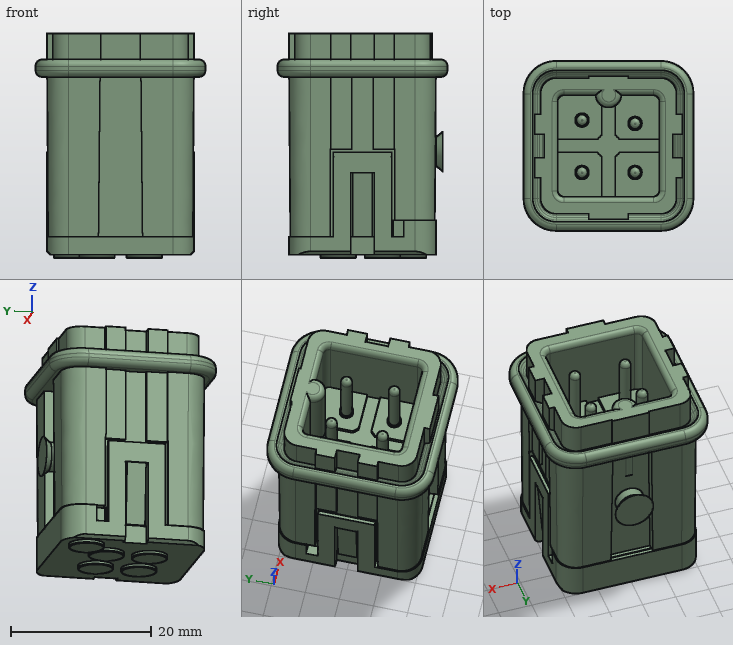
import cadquery as cq
import math

TOTAL_HEIGHT = 32.1
CAP_BOTTOM = 0.5
CAP_TOP = 3.1
CAP_TALL_TOP = 5.45
SEAL_BOTTOM = 25.87
SEAL_TOP = 28.4
CAVITY_FLOOR = 20.45

CORNER_CENTRE = 7.48
SEAL_WIDTH = 24.3
SEAL_HALF = SEAL_WIDTH / 2
BODY_HALF = 10.5
BODY_BOTTOM_HALF = 10.3
COLLAR_HALF = 9.7
OVERLAP = 0.32

SEAL_FILLET = 1.0
SEAL_INNER_HALF = 9.0
SEAL_FUNNEL = [(10.82, 0), (10.53, 0.25), (10.18, 0.58), (9.92, 0.7), (9.45, 1.05), (9.15, 1.32)]

KEY_INNER = 1.67
KEY_OUTER = 4.53
Y_KEY_HALF_WIDTH = 2.8
REAR_KEY_REACH = 9.95
NOTCH_FLOOR = 9.15
RECESS_FLOOR = 9.95
MID_CHANNEL_HALF_WIDTH = 1.55
LATCH_SEAT_FLOOR = 9.5
LATCH_SEAT_TOP = 15.6
LATCH_SEAT_HALF_WIDTH = 4.62
Y_CHANNEL_TOP_HALF_WIDTH = 2.92
Y_CHANNEL_BOTTOM_HALF_WIDTH = 3.15
Y_CHANNEL_FLOOR = 9.1
LEDGE_WIDTH = 0.7
LEDGE_STEP = 0.13

LATCH_WIDTH = 8.3
LATCH_HALF_WIDTH = LATCH_WIDTH / 2
LATCH_TOP = 15.12
LATCH_SLOT_HALF_WIDTH = 1.67
LATCH_SLOT_TOP = 12.2
LATCH_INNER = 9.0
LATCH_BACK = 9.95
LATCH_GAP_DEPTH = 0.65
HOOK_HALF_WIDTH = 1.38
HOOK_TOP_REACH = 10.27
HOOK_BOTTOM_REACH = 9.53
HOOK_FOOT_REACH = 9.12
SLOT_FLOOR = 8.92
POCKET_START = 4.35
POCKET_END = 5.87
POCKET_FLOOR = 9.0
CAP_CHAMFER = 0.48

CAVITY_WIDTH = 14.48
CAVITY_HALF = CAVITY_WIDTH / 2
CAVITY_CORNER_RADIUS = 0.87
RIM_FILLET = 0.85
GUIDE_POST_DIAMETER = 3.65
GUIDE_POST_Y = 7.32
CROSS_HALF_WIDTH = 0.93
CROSS_DEPTH = 0.5
CROSS_CHAMFER = 0.67
PIN_DIAMETER = 1.6
PIN_FOOT_DIAMETER = 2.0
PIN_FOOT_HEIGHT = 0.25
PIN_TIP_FILLET = 0.7
PINS = [(-3.8, -3.8, 29.75), (3.8, -3.8, 29.75), (-3.8, 3.7, 30.6), (3.8, 3.2, 29.75)]

ENTRY_DIAMETER = 5.1
ENTRY_CHAMFER = 0.13
ENTRIES = [(-3.37, -3.47), (3.4, -3.47), (-3.37, 2.85), (3.4, 2.85), (-6.95, 6.58)]
SCREW_HEIGHT = 15.25
SCREW_HEAD_DIAMETER = 5.7
SCREW_NECK_DIAMETER = 4.2
SCREW_FACE = 11.45
SCREW_NECK_END = 10.53


def box(x0, x1, y0, y1, z0, z1):
    return cq.Workplane("XY").box(x1 - x0, y1 - y0, z1 - z0, centered=False).translate((x0, y0, z0))


def rounded_square(half, z):
    sketch = cq.Sketch().rect(2 * half, 2 * half).vertices().fillet(half - CORNER_CENTRE)
    return cq.Workplane("XY").workplane(offset=z).placeSketch(sketch)


def on_both_x_sides(shape):
    return shape.union(shape.mirror("YZ"))


def drafted_body():
    """Body below the seal, narrowing slightly towards the cap."""
    lower = rounded_square(BODY_BOTTOM_HALF, CAP_BOTTOM)
    upper = rounded_square(BODY_HALF, SEAL_BOTTOM + OVERLAP)
    bottom_wire = lower.extrude(OVERLAP).faces("<Z").wires().val()
    top_wire = upper.extrude(OVERLAP).faces("<Z").wires().val()
    return cq.Workplane(cq.Solid.makeLoft([bottom_wire, top_wire], True))


def x_side_recess():
    """Stepped recess in the -X face that also holds the latch plate of the cap."""
    outside = -BODY_HALF - OVERLAP
    recess = box(outside, -RECESS_FLOOR, -KEY_OUTER, KEY_OUTER, LATCH_SEAT_TOP, SEAL_BOTTOM)
    channel = box(
        outside, -LATCH_SEAT_FLOOR,
        -MID_CHANNEL_HALF_WIDTH, MID_CHANNEL_HALF_WIDTH,
        LATCH_SEAT_TOP, SEAL_BOTTOM,
    )
    seat = box(
        outside, -LATCH_SEAT_FLOOR,
        -LATCH_SEAT_HALF_WIDTH, LATCH_SEAT_HALF_WIDTH,
        CAP_TOP, LATCH_SEAT_TOP,
    )
    return recess.union(channel).union(seat)


def y_channel(bottom):
    """Channel in the -Y face that widens slightly towards its bottom."""
    outline = [
        (-Y_CHANNEL_BOTTOM_HALF_WIDTH, bottom),
        (Y_CHANNEL_BOTTOM_HALF_WIDTH, bottom),
        (Y_CHANNEL_TOP_HALF_WIDTH, SEAL_BOTTOM),
        (-Y_CHANNEL_TOP_HALF_WIDTH, SEAL_BOTTOM),
    ]
    depth = BODY_HALF + OVERLAP - Y_CHANNEL_FLOOR
    return cq.Workplane("XZ", origin=(0, -Y_CHANNEL_FLOOR, 0)).polyline(outline).close().extrude(depth)


def y_channel_ledge(bottom):
    """Low step in the cap rim along the floor of the -Y channel."""
    return box(
        -Y_CHANNEL_BOTTOM_HALF_WIDTH, Y_CHANNEL_BOTTOM_HALF_WIDTH,
        -Y_CHANNEL_FLOOR - LEDGE_WIDTH, -Y_CHANNEL_FLOOR,
        bottom - LEDGE_STEP, bottom,
    )


def cap():
    """Bottom cap: low wall, taller +Y wall and a latch plate on each X side."""
    low = rounded_square(BODY_HALF, CAP_BOTTOM).extrude(CAP_TOP - CAP_BOTTOM)
    tall = rounded_square(BODY_HALF, CAP_TOP).extrude(CAP_TALL_TOP - CAP_TOP)
    tall = tall.intersect(
        box(-BODY_HALF, BODY_HALF, POCKET_START, BODY_HALF, CAP_TOP, CAP_TALL_TOP)
    )
    plate = box(-BODY_HALF, -LATCH_INNER, -LATCH_HALF_WIDTH, LATCH_HALF_WIDTH, CAP_BOTTOM, LATCH_TOP)
    return low.union(tall).union(on_both_x_sides(plate))


def cap_side_cuts():
    """Latch slot, small window, gap behind the latch plate and bottom chamfer of the cap on its -X side."""
    outside = -BODY_HALF - OVERLAP
    slot = box(
        outside, -SLOT_FLOOR,
        -LATCH_SLOT_HALF_WIDTH, LATCH_SLOT_HALF_WIDTH,
        0, LATCH_SLOT_TOP,
    )
    pocket = box(outside, -POCKET_FLOOR, POCKET_START, POCKET_END, CAP_TOP, CAP_TALL_TOP)
    gap = box(
        -LATCH_BACK, -LATCH_SEAT_FLOOR,
        -LATCH_HALF_WIDTH, LATCH_HALF_WIDTH,
        LATCH_TOP - LATCH_GAP_DEPTH, LATCH_TOP,
    )
    chamfer = (
        cq.Workplane("XZ", origin=(0, BODY_HALF, 0))
        .polyline([
            (-BODY_HALF, CAP_BOTTOM),
            (-BODY_HALF + CAP_CHAMFER, CAP_BOTTOM),
            (-BODY_HALF, CAP_BOTTOM + CAP_CHAMFER),
        ])
        .close()
        .extrude(2 * BODY_HALF)
    )
    return slot.union(pocket).union(gap).union(chamfer)


def latch_hook():
    """Ramp of the body inside the latch slot, over a plain foot that closes the slot below."""
    ramp = (
        cq.Workplane("XZ", origin=(0, HOOK_HALF_WIDTH, 0))
        .polyline([
            (-LATCH_INNER + OVERLAP, CAP_TOP),
            (-HOOK_BOTTOM_REACH, CAP_TOP),
            (-HOOK_TOP_REACH, LATCH_SLOT_TOP),
            (-LATCH_INNER + OVERLAP, LATCH_SLOT_TOP),
        ])
        .close()
        .extrude(2 * HOOK_HALF_WIDTH)
    )
    foot = box(
        -HOOK_FOOT_REACH, -SLOT_FLOOR + OVERLAP,
        -LATCH_SLOT_HALF_WIDTH, LATCH_SLOT_HALF_WIDTH,
        CAP_BOTTOM, CAP_TOP,
    )
    return ramp.union(foot)


def seal():
    """Seal ring: its cross-section is swept around the rounded square."""
    shoulder = SEAL_HALF - SEAL_FILLET
    bulge = SEAL_FILLET * (1 - math.sqrt(0.5))
    section = (
        cq.Workplane("XZ")
        .moveTo(SEAL_INNER_HALF, SEAL_BOTTOM)
        .lineTo(shoulder, SEAL_BOTTOM)
        .threePointArc((SEAL_HALF - bulge, SEAL_BOTTOM + bulge), (SEAL_HALF, SEAL_BOTTOM + SEAL_FILLET))
        .lineTo(SEAL_HALF, SEAL_TOP - SEAL_FILLET)
        .threePointArc((SEAL_HALF - bulge, SEAL_TOP - bulge), (shoulder, SEAL_TOP))
    )
    for half, drop in SEAL_FUNNEL:
        section = section.lineTo(half, SEAL_TOP - drop)
    section = section.lineTo(SEAL_INNER_HALF, SEAL_TOP - SEAL_FUNNEL[-1][1]).close()
    edge = SEAL_HALF
    start = CORNER_CENTRE
    mid = start + (edge - start) * math.sqrt(0.5)
    ring_path = (
        cq.Workplane("XY", origin=(0, 0, SEAL_BOTTOM))
        .moveTo(edge, 0)
        .lineTo(edge, start).threePointArc((mid, mid), (start, edge))
        .lineTo(-start, edge).threePointArc((-mid, mid), (-edge, start))
        .lineTo(-edge, -start).threePointArc((-mid, -mid), (-start, -edge))
        .lineTo(start, -edge).threePointArc((mid, -mid), (edge, -start))
        .close()
    )
    return section.sweep(ring_path)


def collar():
    """Collar above the seal with its key ribs and the two side notches."""
    height = TOTAL_HEIGHT - SEAL_BOTTOM
    base = rounded_square(COLLAR_HALF, SEAL_BOTTOM).extrude(height)
    keys = box(-BODY_HALF, BODY_HALF, -KEY_OUTER, KEY_OUTER, SEAL_BOTTOM, TOTAL_HEIGHT)
    keys = keys.union(
        box(-Y_KEY_HALF_WIDTH, Y_KEY_HALF_WIDTH, -BODY_HALF, REAR_KEY_REACH, SEAL_BOTTOM, TOTAL_HEIGHT)
    )
    notch = box(-BODY_HALF, -NOTCH_FLOOR, -KEY_INNER, KEY_INNER, SEAL_BOTTOM, TOTAL_HEIGHT)
    return base.union(keys).cut(on_both_x_sides(notch))


def cavity():
    """Open pocket around the pins."""
    depth = TOTAL_HEIGHT - CAVITY_FLOOR
    return (
        cq.Workplane("XY", origin=(0, 0, CAVITY_FLOOR))
        .rect(2 * CAVITY_HALF, 2 * CAVITY_HALF)
        .extrude(depth)
        .edges("|Z")
        .fillet(CAVITY_CORNER_RADIUS)
    )


def guide_post():
    """Round post on the +Y cavity wall, rounded at its top."""
    return (
        cq.Workplane("XY", origin=(0, GUIDE_POST_Y, CAVITY_FLOOR - CROSS_DEPTH))
        .circle(GUIDE_POST_DIAMETER / 2)
        .extrude(TOTAL_HEIGHT - CAVITY_FLOOR + CROSS_DEPTH)
        .faces(">Z")
        .edges()
        .fillet(RIM_FILLET)
    )


def floor_cross():
    """Cross-shaped groove in the cavity floor with bevelled inner corners."""
    half = CROSS_HALF_WIDTH
    bottom = CAVITY_FLOOR - CROSS_DEPTH
    bars = box(-half, half, -CAVITY_HALF, CAVITY_HALF, bottom, CAVITY_FLOOR)
    bars = bars.union(box(-CAVITY_HALF, CAVITY_HALF, -half, half, bottom, CAVITY_FLOOR))
    bevel = 2 * half + CROSS_CHAMFER
    hub = (
        cq.Workplane("XY", origin=(0, 0, bottom))
        .polyline([(bevel, 0), (0, bevel), (-bevel, 0), (0, -bevel)])
        .close()
        .extrude(CROSS_DEPTH)
    )
    return bars.union(hub)


def pin(x, y, tip):
    shaft = (
        cq.Workplane("XY", origin=(x, y, CAVITY_FLOOR - OVERLAP))
        .circle(PIN_DIAMETER / 2)
        .extrude(tip - CAVITY_FLOOR + OVERLAP)
        .faces(">Z")
        .edges()
        .fillet(PIN_TIP_FILLET)
    )
    foot = (
        cq.Workplane("XY", origin=(x, y, CAVITY_FLOOR - OVERLAP))
        .circle(PIN_FOOT_DIAMETER / 2)
        .extrude(PIN_FOOT_HEIGHT + OVERLAP)
    )
    return shaft.union(foot)


def wire_entry(x, y):
    return (
        cq.Workplane("XY", origin=(x, y, 0))
        .circle(ENTRY_DIAMETER / 2)
        .extrude(CAP_BOTTOM + OVERLAP)
        .faces("<Z")
        .chamfer(ENTRY_CHAMFER)
    )


def screw():
    """Countersunk screw standing out of the +Y face."""
    profile = [
        (0, Y_CHANNEL_FLOOR - OVERLAP),
        (SCREW_NECK_DIAMETER / 2, Y_CHANNEL_FLOOR - OVERLAP),
        (SCREW_NECK_DIAMETER / 2, SCREW_NECK_END),
        (SCREW_HEAD_DIAMETER / 2, SCREW_FACE),
        (0, SCREW_FACE),
    ]
    head = cq.Workplane("XY").polyline(profile).close().revolve(360, (0, 0, 0), (0, 1, 0))
    return head.translate((0, 0, SCREW_HEIGHT))


body = drafted_body()
body = body.cut(on_both_x_sides(x_side_recess()))
body = body.cut(y_channel(CAP_TOP))
body = body.cut(y_channel(CAP_TALL_TOP).mirror("XZ"))
body = body.union(cap())
body = body.cut(y_channel_ledge(CAP_TOP))
body = body.cut(y_channel_ledge(CAP_TALL_TOP).mirror("XZ"))
body = body.cut(on_both_x_sides(cap_side_cuts()))
body = body.union(on_both_x_sides(latch_hook()))
body = body.union(collar())
body = body.union(seal())
body = body.cut(cavity())

cavity_rim = cq.selectors.BoxSelector(
    (-CAVITY_HALF - OVERLAP, -CAVITY_HALF - OVERLAP, TOTAL_HEIGHT - OVERLAP / 2),
    (CAVITY_HALF + OVERLAP, CAVITY_HALF + OVERLAP, TOTAL_HEIGHT + OVERLAP / 2),
)
body = body.edges(cavity_rim).fillet(RIM_FILLET)
body = body.cut(floor_cross())
body = body.union(guide_post())

for pin_x, pin_y, pin_tip in PINS:
    body = body.union(pin(pin_x, pin_y, pin_tip))
for entry_x, entry_y in ENTRIES:
    body = body.union(wire_entry(entry_x, entry_y))
result = body.union(screw())